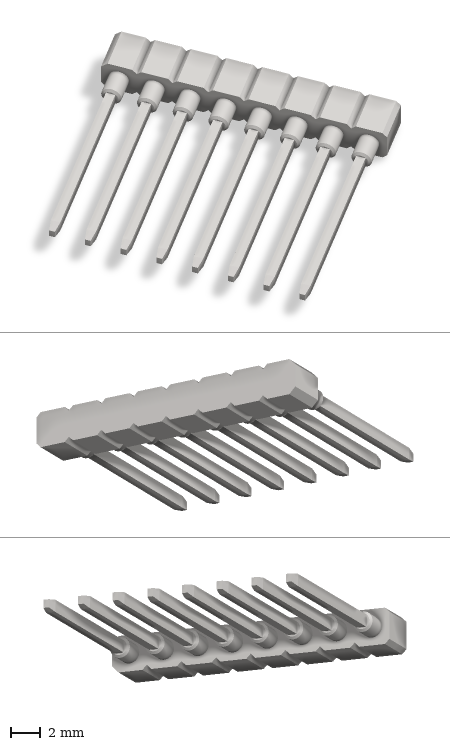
import cadquery as cq

pin_count = 8
pitch = 2.55
overall_length = 17.4

strip_length = pin_count * pitch
strip_depth = 2.99
strip_height = 2.55
left_chamfer = 0.47
notch_size = 0.33
right_chamfer = notch_size

collar_diameter = 1.45
collar_length = 1.79
collar_chamfer = 0.16

pin_width = 0.67
pin_height = 0.85
tip_length = 0.8
tip_width = 0.4
tip_height = 0.57

collar_end = strip_depth + collar_length
tip_start = overall_length - tip_length


def plane_at(distance, x=0):
    """Plane facing -Y, at a distance in front of the back face."""
    return cq.Workplane("XZ", origin=(x, -distance, 0))


def make_strip():
    """Block with chamfered ends and V-notches between neighbouring pins."""
    strip = plane_at(0).rect(strip_length, strip_height).extrude(strip_depth)
    strip = strip.faces("<X").edges("|Y").chamfer(left_chamfer)
    strip = strip.faces(">X").edges("|Y").chamfer(right_chamfer)
    for gap in range(1, pin_count):
        x = gap * pitch - strip_length / 2
        for side in (1, -1):
            edge_z = side * strip_height / 2
            notch = (
                plane_at(0)
                .moveTo(x - notch_size, edge_z)
                .lineTo(x + notch_size, edge_z)
                .lineTo(x, edge_z - side * notch_size)
                .close()
                .extrude(strip_depth)
            )
            strip = strip.cut(notch)
    return strip


def make_pin(x):
    """Chamfered collar, rectangular shank and tapered tip at position x."""
    collar = plane_at(0, x).circle(collar_diameter / 2).extrude(collar_end)
    collar = collar.faces("<Y").chamfer(collar_chamfer)
    shank = plane_at(0, x).rect(pin_width, pin_height).extrude(tip_start)
    tip = (
        plane_at(tip_start, x)
        .rect(pin_width, pin_height)
        .workplane(offset=tip_length)
        .rect(tip_width, tip_height)
        .loft(ruled=True)
    )
    return collar.union(shank).union(tip)


result = make_strip()
for index in range(pin_count):
    result = result.union(make_pin((index + 0.5) * pitch - strip_length / 2))